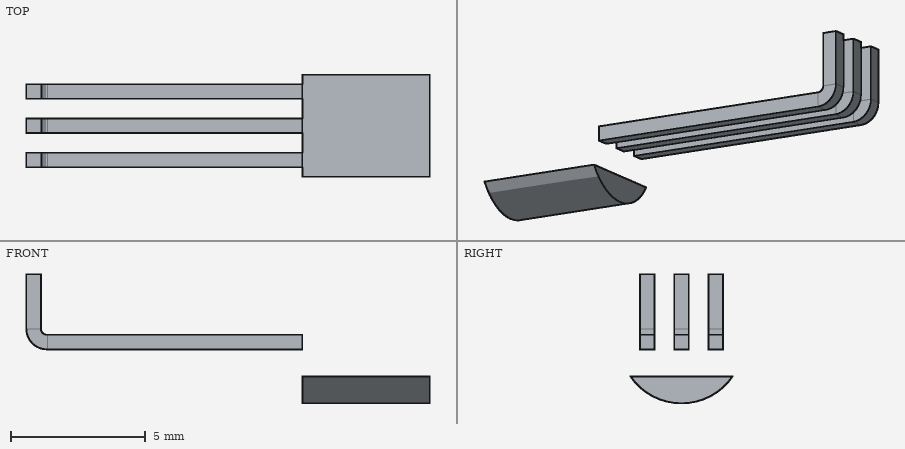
import cadquery as cq

LEAD_COUNT = 3
LEAD_PITCH = 1.27
LEAD_SIZE = 0.55
LEAD_LENGTH = 10.24
LEAD_HEIGHT = 2.8
BEND_RADIUS = 0.5

OVERALL_LENGTH = 14.97
BODY_LENGTH = OVERALL_LENGTH - LEAD_LENGTH
BODY_WIDTH = 3.79
BODY_DEPTH = 1.0

LEAD_CLEARANCE = 1.0

RUN_CENTER_Z = LEAD_CLEARANCE + LEAD_SIZE / 2
UPRIGHT_CENTER_X = -LEAD_LENGTH + LEAD_SIZE / 2
LEAD_TOP_Z = LEAD_CLEARANCE + LEAD_HEIGHT


def make_body():
    """Segment profile in the YZ plane, extruded along +X."""
    half_width = BODY_WIDTH / 2
    return (
        cq.Workplane("YZ")
        .moveTo(-half_width, 0)
        .threePointArc((0, -BODY_DEPTH), (half_width, 0))
        .close()
        .extrude(BODY_LENGTH)
    )


def make_lead(center_y):
    """Square section swept along run, bend and upright, whose side faces stay separate."""
    centerline = (
        cq.Workplane("XZ", origin=(0, center_y, 0))
        .moveTo(0, RUN_CENTER_Z)
        .lineTo(UPRIGHT_CENTER_X + BEND_RADIUS, RUN_CENTER_Z)
        .tangentArcPoint((UPRIGHT_CENTER_X, RUN_CENTER_Z + BEND_RADIUS), relative=False)
        .lineTo(UPRIGHT_CENTER_X, LEAD_TOP_Z)
    )
    return (
        cq.Workplane("YZ", origin=(0, center_y, RUN_CENTER_Z))
        .rect(LEAD_SIZE, LEAD_SIZE)
        .sweep(centerline, clean=False)
    )


body = make_body()

leads = []
for index in range(LEAD_COUNT):
    steps_from_middle = index - (LEAD_COUNT - 1) / 2
    leads.append(make_lead(steps_from_middle * LEAD_PITCH))

result = cq.Compound.makeCompound([body.val(), *[lead.val() for lead in leads]])